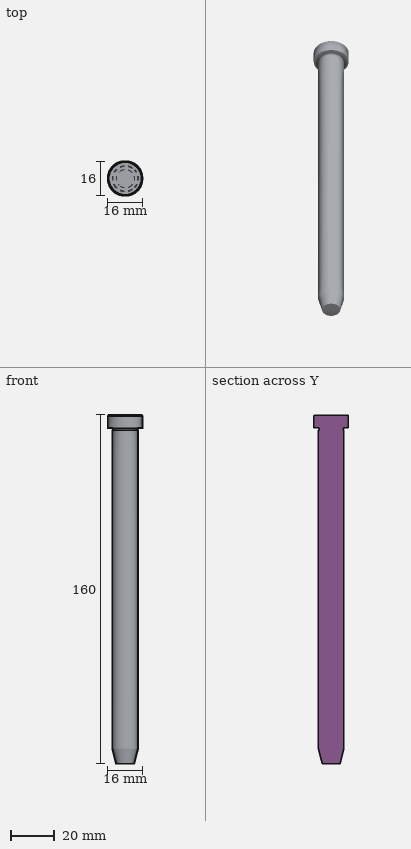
import cadquery as cq

total_length = 160.0
head_diameter = 16.0
head_height = 6.0
head_chamfer = 0.5
shank_diameter = 12.0

groove_height = 1.0
groove_depth = 0.3

tip_length = 7.2
tip_diameter = 8.3

head_bottom = total_length - head_height
groove_bottom = head_bottom - groove_height
head_radius = head_diameter / 2
shank_radius = shank_diameter / 2
groove_radius = shank_radius - groove_depth

profile = (
    cq.Workplane("XZ")
    .moveTo(0, 0)
    .lineTo(tip_diameter / 2, 0)
    .lineTo(shank_radius, tip_length)
    .lineTo(shank_radius, groove_bottom)
    .radiusArc((groove_radius, groove_bottom + groove_depth), groove_depth)
    .lineTo(groove_radius, head_bottom - groove_depth)
    .radiusArc((shank_radius, head_bottom), groove_depth)
    .lineTo(head_radius, head_bottom)
    .lineTo(head_radius, total_length)
    .lineTo(0, total_length)
    .close()
)
pin = profile.revolve(360, (0, 0, 0), (0, 1, 0))

result = pin.faces(">Z").edges().chamfer(head_chamfer)